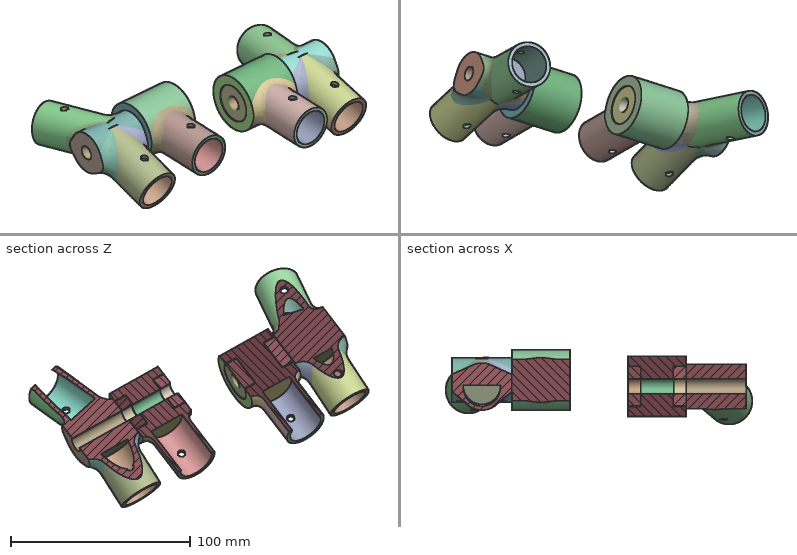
import cadquery as cq
import math


shaft_bore = 8.0

barrel_diameter = 33.8
barrel_length = 32.5
barrel_fillet = 6.0
barrel_socket_diameter = 24.6
barrel_socket_bore = 20.5
barrel_socket_reach = 46.8

bearing_diameter = 22.0
bearing_width = 7.0
bearing_edge_radius = 0.77
seat_diameter = 22.2

hub_diameter = 25.0
hub_length = 33.3
hub_fillet = 9.9
hub_acute_fillet = 6.0
hub_socket_diameter = 25.5
hub_socket_bore = 20.7
right_socket_reach = 42.7
right_socket_drop = 16.6
left_socket_reach = 46.5
left_socket_drop = 7.6
left_socket_swing = 13.2
left_socket_offset = 2.7

socket_depth = 30.0
pin_hole_diameter = 4.3

overlength = 4

joint_gap = 32.3
joint_shift_x = 12.3
joint_shift_z = -3.6
rear_hub_turn = -3.5

bearing_starts = [0, barrel_length - bearing_width]
hub_centre = cq.Vector(0, -hub_length / 2, 0)
barrel_centre = cq.Vector(0, barrel_length / 2, 0)


def heading(side, drop, swing):
    """Unit vector to +X (side 1) or -X (side -1), dropped below horizontal and swung to -Y."""
    fall = -math.tan(math.radians(drop))
    sway = -math.tan(math.radians(swing))
    return cq.Vector(side, sway, fall).normalized()


def upright(axis):
    """Unit vector square to an axis and as near to +Z as possible."""
    up = cq.Vector(0, 0, 1)
    return (up - axis * up.dot(axis)).normalized()


def socket_rod(start, axis, diameter, length):
    """Solid rod along a socket axis, with its surface seam on top."""
    plane = cq.Plane(origin=start, xDir=upright(axis), normal=axis)
    return cq.Workplane(plane).circle(diameter / 2).extrude(length)


def shaft_rod(diameter, y_start, length):
    """Solid rod on the shaft axis."""
    plane = cq.Plane(origin=(0, y_start, 0), xDir=(1, 0, 0), normal=(0, 1, 0))
    return cq.Workplane(plane).circle(diameter / 2).extrude(length)


def core_with_socket(centre, core_diameter, core_length, start, axis, diameter, reach, fillets):
    """Round core with a solid socket filleted onto it, the fillets cut off at the core ends.

    The fillets list holds one radius for each edge of the seam, from -Y to +Y.
    """
    long_length = overlength * core_length
    long_start = centre - cq.Vector(0, long_length / 2, 0)
    seam_side = cq.Vector(-math.copysign(1, axis.x), 0, 0)
    long_plane = cq.Plane(origin=long_start, xDir=seam_side, normal=(0, 1, 0))
    long_core = cq.Workplane(long_plane).circle(core_diameter / 2).extrude(long_length)
    socket = socket_rod(start, axis, diameter, reach)
    blank = long_core.union(socket)
    seam = sorted(blank.edges("%BSPLINE").vals(), key=lambda edge: edge.Center().y)
    flared = blank.val()
    for edge, radius in zip(seam, fillets):
        flared = flared.fillet(radius, [edge])
    slab_width = 4 * reach
    slab = cq.Workplane(cq.Plane(origin=centre)).box(slab_width, core_length, slab_width)
    return cq.Workplane(flared).intersect(slab).union(socket)


def bore_socket(body, start, axis, bore, reach):
    """Cut a socket's blind bore and its cross pin hole."""
    floor = start + axis * (reach - socket_depth)
    pin_centre = start + axis * (reach - socket_depth / 2)
    pin_plane = cq.Plane(origin=pin_centre, xDir=axis, normal=upright(axis))
    pin_hole = cq.Workplane(pin_plane).circle(pin_hole_diameter / 2).extrude(bore, both=True)
    return body.cut(socket_rod(floor, axis, bore, socket_depth)).cut(pin_hole)


def make_hub():
    right_axis = heading(1, right_socket_drop, 0)
    left_axis = heading(-1, left_socket_drop, left_socket_swing)
    left_start = hub_centre + cq.Vector(0, left_socket_offset, 0)
    sockets = [
        (hub_centre, right_axis, right_socket_reach, [hub_fillet, hub_fillet]),
        (left_start, left_axis, left_socket_reach, [hub_acute_fillet, hub_fillet]),
    ]
    hub = shaft_rod(hub_diameter, -hub_length, hub_length)
    for start, axis, reach, fillets in sockets:
        hub = hub.union(
            core_with_socket(
                hub_centre, hub_diameter, hub_length,
                start, axis, hub_socket_diameter, reach, fillets,
            )
        )
    for start, axis, reach, _ in sockets:
        hub = bore_socket(hub, start, axis, hub_socket_bore, reach)
    return hub.cut(shaft_rod(shaft_bore, -hub_length, hub_length))


def make_barrel():
    axis = heading(1, 0, 0)
    barrel = core_with_socket(
        barrel_centre, barrel_diameter, barrel_length,
        barrel_centre, axis, barrel_socket_diameter, barrel_socket_reach, [barrel_fillet],
    )
    barrel = bore_socket(barrel, barrel_centre, axis, barrel_socket_bore, barrel_socket_reach)
    barrel = barrel.cut(shaft_rod(shaft_bore, 0, barrel_length))
    for y_start in bearing_starts:
        barrel = barrel.cut(shaft_rod(seat_diameter, y_start, bearing_width))
    return barrel


def make_bearing(y_start):
    ring = shaft_rod(bearing_diameter, y_start, bearing_width)
    ring = ring.cut(shaft_rod(shaft_bore, y_start, bearing_width))
    return ring.edges("%CIRCLE").fillet(bearing_edge_radius)


def to_rear(body):
    """Mirror a front body across the middle of the gap and shift it into the rear joint."""
    middle = (0, barrel_length + joint_gap / 2, 0)
    return body.mirror("XZ", middle).translate((joint_shift_x, 0, joint_shift_z))


front_hub = make_hub()
front_barrel = make_barrel()
front_bearings = [make_bearing(y_start) for y_start in bearing_starts]

rear_hub = to_rear(front_hub.rotate((0, 0, 0), (0, 1, 0), rear_hub_turn))
rear_barrel = to_rear(front_barrel)
rear_bearings = [to_rear(bearing) for bearing in front_bearings]

bodies = [front_hub, front_barrel, *front_bearings, rear_hub, rear_barrel, *rear_bearings]
result = cq.Compound.makeCompound([body.val() for body in bodies])